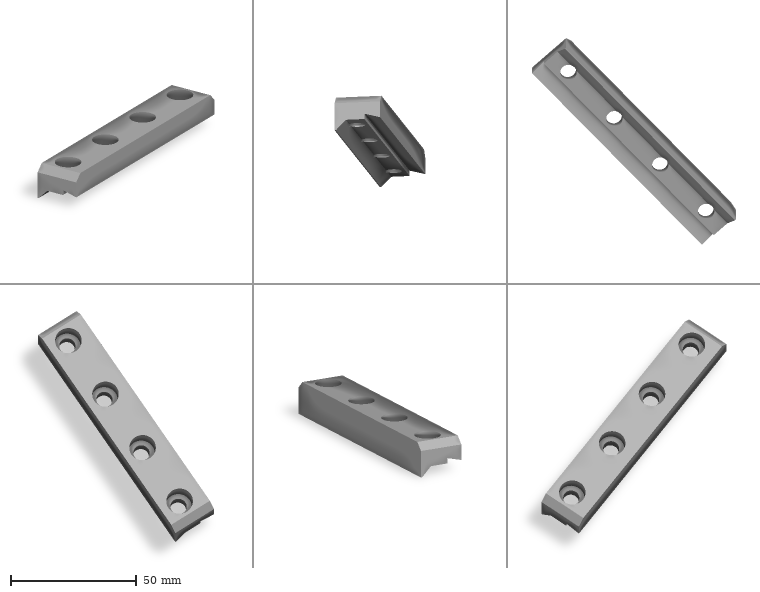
import cadquery as cq
import math

width = 18.5
length = 100.0
height = 14.1

web_depth = 10.0
lip_flat = 0.5
step_x = 12.1
step_depth = 7.8
clamp_angle = 15.0

end_chamfer = 3.0

hole_count = 4
hole_pitch = 27.0
hole_x = 8.3
hole_tilt = 5.0
bore_diameter = 6.5
counterbore_diameter = 10.6
counterbore_depth = 5.8
cutter_overrun = 5.0


def bar():
    """Extrude the profile along Y, with the top face at Z = 0."""
    lip_end_x = lip_flat + height - web_depth
    clamp_drop = (width - step_x) * math.tan(math.radians(clamp_angle))
    profile = [
        (0, 0),
        (0, -height),
        (lip_flat, -height),
        (lip_end_x, -web_depth),
        (step_x, -web_depth),
        (step_x, -step_depth),
        (width, -step_depth - clamp_drop),
        (width, 0),
    ]
    body = cq.Workplane("XZ").polyline(profile).close().extrude(length / 2, both=True)
    return body.faces(">Z").edges("|X").chamfer(end_chamfer)


def screw_hole(y):
    """Counterbored through hole whose lower end leans toward -X."""
    counterbore = cq.Workplane("XY", origin=(0, 0, -counterbore_depth)).circle(counterbore_diameter / 2)
    counterbore = counterbore.extrude(counterbore_depth + cutter_overrun)
    bore = cq.Workplane("XY", origin=(0, 0, -height - cutter_overrun)).circle(bore_diameter / 2)
    bore = bore.extrude(height + cutter_overrun)
    cutter = counterbore.union(bore).rotate((0, 0, 0), (0, 1, 0), hole_tilt)
    return cutter.translate((hole_x, y, 0))


result = bar()
for index in range(hole_count):
    hole_y = (index - (hole_count - 1) / 2) * hole_pitch
    result = result.cut(screw_hole(hole_y))